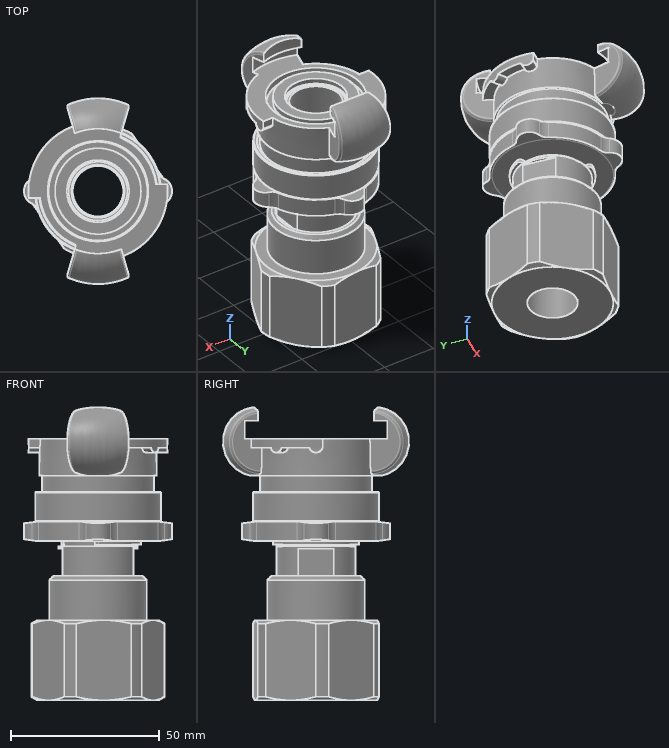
import cadquery as cq
import math

HEX_TOP = 27.0
COLLAR_TOP = 42.0
FLATS_TOP = 51.1
NECK_TOP = 51.9
CLIP_BOTTOM = 52.5
GRIP_BOTTOM = 53.6
GRIP_TOP = 60.2
RING_TOP = 70.3
HEAD_BOTTOM = 75.7
FACE = 88.2

HEX_SIDES = 6
HEX_ACROSS_FLATS = 41.0
HEX_CORNER_DIAMETER = 45.0
HEX_TURN = 5.3
HEX_BEVEL_ANGLE = 30.0
COLLAR_DIAMETER = 33.0
COLLAR_CHAMFER = 1.5
SOCKET_MOUTH_DIAMETER = 27.5
SOCKET_MOUTH_DEPTH = 2.0
ADAPTER_BORE_DIAMETER = 17.0

NECK_DIAMETER = 26.8
NECK_ACROSS_FLATS = 24.0
FLATS_BOTTOM = COLLAR_TOP - 1.0
SPIGOT_DIAMETER = 23.0
STEM_BORE_DIAMETER = 18.0
SEAT_DIAMETER = 21.0
SEAT_DEPTH = 2.0
SEAT_STEP_DIAMETER = 19.8
SEAT_STEP_DEPTH = 2.2

CLIP_DIAMETER = 29.0
CLIP_GAP_START = 152.0
CLIP_GAP_END = 265.0
CLIP_END_ROUND = 1.2

RING_DIAMETER = 42.5
RING_CHAMFER = 0.3
RELIEF_DIAMETER = 39.9
RELIEF_DEPTH = 1.0
LOBE_COUNT = 4
LOBE_REACH = 25.0
LOBE_RADIUS = 4.6
LOBE_BLEND = 4.0
LOBE_TOP_DROP = 0.5
LOBE_BOTTOM_START = 20.5
LOBE_BOTTOM_DROP = 0.65

WAIST_DIAMETER = 37.9
HEAD_FOOT_RADIUS = 19.9
HEAD_FACE_RADIUS = 19.65
GROOVE_DIAMETER = 34.0
GROOVE_FLOOR_DIAMETER = 33.25
GROOVE_INNER_DIAMETER = 29.0
GROOVE_DEPTH = 2.5

FLANGE_RADIUS = 23.5
FLANGE_THICKNESS = 3.15
FLANGE_START = 110.0
FLANGE_END_OFFSET = 2.35
BUMP_RADIUS = FLANGE_END_OFFSET
BUMP_DROP = 4.7
BUMP_ANGLES = (145.0, 180.0)

CLAW_REACH = 31.435
CLAW_RADIUS = 11.75
CLAW_CENTRE_Z = 87.17
CLAW_CENTRE_Y = CLAW_REACH - CLAW_RADIUS
CLAW_CROWN_RADIUS = 24.0
CLAW_SIDE_ANGLE = 16.4
CLAW_SIDE_OFFSET = 2.1
CLAW_WEDGE_MARGIN = 1.0
CLAW_EDGE_ROUND = 0.9
HOOK_TIP_RADIUS = 21.05
HOOK_INNER_RADIUS = 25.65
HOOK_UNDERSIDE = 94.2


def disc(diameter, bottom, top):
    """Upright cylinder on the Z axis."""
    return cq.Workplane("XY").workplane(offset=bottom).circle(diameter / 2).extrude(top - bottom)


def polar(radius, angle):
    """Point at a radius and an angle in degrees."""
    return (radius * math.cos(math.radians(angle)), radius * math.sin(math.radians(angle)))


def revolved(profile):
    """Solid of revolution about Z from (radius, height) points."""
    return cq.Workplane("XZ").polyline(profile).close().revolve(360, (0, 0, 0), (0, 1, 0))


def both_sides(feature):
    """The feature together with its copy half a turn about Z."""
    return feature.union(feature.rotate((0, 0, 0), (0, 0, 1), 180))



def hex_foot():
    """Hexagon with turned corners and conical bevels at both ends."""
    corner_to_corner = HEX_ACROSS_FLATS / math.cos(math.pi / HEX_SIDES)
    prism = cq.Workplane("XY").polygon(HEX_SIDES, corner_to_corner).extrude(HEX_TOP)
    prism = prism.rotate((0, 0, 0), (0, 0, 1), HEX_TURN)
    end_radius = HEX_ACROSS_FLATS / 2
    corner_radius = HEX_CORNER_DIAMETER / 2
    bevel = (corner_radius - end_radius) * math.tan(math.radians(HEX_BEVEL_ANGLE))
    turned = revolved([
        (0, 0),
        (end_radius, 0),
        (corner_radius, bevel),
        (corner_radius, HEX_TOP - bevel),
        (end_radius, HEX_TOP),
        (0, HEX_TOP),
    ])
    return prism.intersect(turned)


def make_adapter():
    """Hex with a round collar, bored through and socketed for the coupling's neck."""
    collar = disc(COLLAR_DIAMETER, HEX_TOP, COLLAR_TOP).faces(">Z").chamfer(COLLAR_CHAMFER)
    socket = disc(NECK_DIAMETER, HEX_TOP, COLLAR_TOP)
    socket_mouth = disc(SOCKET_MOUTH_DIAMETER, COLLAR_TOP - SOCKET_MOUTH_DEPTH, COLLAR_TOP)
    bore = disc(ADAPTER_BORE_DIAMETER, 0, HEX_TOP)
    return hex_foot().union(collar).cut(socket).cut(socket_mouth).cut(bore)



def neck():
    """Round neck with two wrench flats facing -X and +X, between full rounds."""
    full_round = disc(NECK_DIAMETER, HEX_TOP, NECK_TOP)
    slab = (
        cq.Workplane("XY").workplane(offset=FLATS_BOTTOM)
        .rect(NECK_ACROSS_FLATS, NECK_DIAMETER).extrude(FLATS_TOP - FLATS_BOTTOM)
    )
    plug = disc(NECK_DIAMETER, HEX_TOP, FLATS_BOTTOM)
    rim = disc(NECK_DIAMETER, FLATS_TOP, NECK_TOP)
    return full_round.intersect(slab).union(plug).union(rim)


def clip():
    """Flat open ring around the spigot, touching the underside of the grip."""
    ring = disc(CLIP_DIAMETER, CLIP_BOTTOM, GRIP_BOTTOM)
    gap_reach = CLIP_DIAMETER
    gap_middle = (CLIP_GAP_START + CLIP_GAP_END) / 2
    gap = (
        cq.Workplane("XY").workplane(offset=CLIP_BOTTOM)
        .polyline([
            (0, 0),
            polar(gap_reach, CLIP_GAP_START),
            polar(gap_reach, gap_middle),
            polar(gap_reach, CLIP_GAP_END),
        ])
        .close().extrude(GRIP_BOTTOM - CLIP_BOTTOM)
    )
    return ring.cut(gap).edges("|Z").edges("<Y or >Y").fillet(CLIP_END_ROUND)


def lobe():
    """One rounded lobe pointing along +X, blended by concave arcs into the grip's round."""
    base_radius = RING_DIAMETER / 2
    lobe_centre = LOBE_REACH - LOBE_RADIUS
    blend_distance = base_radius + LOBE_BLEND
    centre_gap = LOBE_RADIUS + LOBE_BLEND
    blend_x = (blend_distance**2 + lobe_centre**2 - centre_gap**2) / (2 * lobe_centre)
    blend_y = math.sqrt(blend_distance**2 - blend_x**2)
    blend_angle = math.atan2(blend_y, blend_x)
    root = (base_radius * math.cos(blend_angle), base_radius * math.sin(blend_angle))
    joint_ratio = LOBE_RADIUS / centre_gap
    joint = (lobe_centre + (blend_x - lobe_centre) * joint_ratio, blend_y * joint_ratio)
    root_direction = math.atan2(root[1] - blend_y, root[0] - blend_x)
    joint_direction = math.atan2(joint[1] - blend_y, joint[0] - blend_x)
    middle_direction = (root_direction + joint_direction) / 2
    middle = (
        blend_x + LOBE_BLEND * math.cos(middle_direction),
        blend_y + LOBE_BLEND * math.sin(middle_direction),
    )
    return (
        cq.Workplane("XY").workplane(offset=GRIP_BOTTOM)
        .moveTo(0, 0)
        .lineTo(root[0], -root[1])
        .threePointArc((middle[0], -middle[1]), (joint[0], -joint[1]))
        .threePointArc((LOBE_REACH, 0), joint)
        .threePointArc(middle, root)
        .close().extrude(GRIP_TOP - GRIP_BOTTOM)
    )


def grip():
    """Round with four lobes, both ends sloping away slightly towards the lobe tips."""
    solid = disc(RING_DIAMETER, GRIP_BOTTOM, GRIP_TOP)
    for index in range(LOBE_COUNT):
        solid = solid.union(lobe().rotate((0, 0, 0), (0, 0, 1), index * 360 / LOBE_COUNT))
    top_start = RING_DIAMETER / 2 - RING_CHAMFER
    envelope = revolved([
        (0, GRIP_BOTTOM),
        (LOBE_BOTTOM_START, GRIP_BOTTOM),
        (LOBE_REACH, GRIP_BOTTOM + LOBE_BOTTOM_DROP),
        (LOBE_REACH, GRIP_TOP - LOBE_TOP_DROP),
        (top_start, GRIP_TOP),
        (0, GRIP_TOP),
    ])
    return solid.intersect(envelope)


def head():
    """Slightly tapered round under the coupling face."""
    return revolved([
        (0, HEAD_BOTTOM),
        (HEAD_FOOT_RADIUS, HEAD_BOTTOM),
        (HEAD_FACE_RADIUS, FACE),
        (0, FACE),
    ])


def flange():
    """Bayonet flange on the -X side with two rounded radial bumps beneath it."""
    reach = 2 * FLANGE_RADIUS
    bottom = FACE - FLANGE_THICKNESS
    sector = (
        cq.Workplane("XY").workplane(offset=bottom)
        .polyline([
            (0, 0),
            polar(reach, FLANGE_START),
            (-reach, reach),
            (-reach, -FLANGE_END_OFFSET),
            (0, -FLANGE_END_OFFSET),
        ])
        .close().extrude(FLANGE_THICKNESS)
    )
    solid = disc(2 * FLANGE_RADIUS, bottom, FACE).intersect(sector)
    bump_height = FACE - BUMP_DROP + BUMP_RADIUS
    reach_limit = disc(2 * FLANGE_RADIUS, HEAD_BOTTOM, FACE)
    for angle in BUMP_ANGLES:
        bump = cq.Workplane("YZ").center(0, bump_height).circle(BUMP_RADIUS).extrude(reach)
        solid = solid.union(bump.rotate((0, 0, 0), (0, 0, 1), angle).intersect(reach_limit))
    return solid


def claw():
    """Barrel-shaped claw on the +Y side, hollowed from within into a hook."""
    reach = CLAW_REACH + CLAW_WEDGE_MARGIN
    half_length = CLAW_SIDE_OFFSET + reach * math.tan(math.radians(CLAW_SIDE_ANGLE))
    crown_drop = CLAW_CROWN_RADIUS - math.sqrt(CLAW_CROWN_RADIUS**2 - half_length**2)
    end_radius = CLAW_RADIUS - crown_drop
    barrel = (
        cq.Workplane("XY")
        .moveTo(-half_length, 0)
        .lineTo(-half_length, -end_radius)
        .threePointArc((0, -CLAW_RADIUS), (half_length, -end_radius))
        .lineTo(half_length, 0)
        .close().revolve(360, (0, 0, 0), (1, 0, 0))
        .translate((0, CLAW_CENTRE_Y, CLAW_CENTRE_Z))
    )
    wedge = (
        cq.Workplane("XY").workplane(offset=HEAD_BOTTOM)
        .polyline([
            (-CLAW_SIDE_OFFSET, 0),
            (-half_length, reach),
            (half_length, reach),
            (CLAW_SIDE_OFFSET, 0),
        ])
        .close().extrude(2 * CLAW_RADIUS)
    )
    solid = barrel.intersect(wedge)
    solid = solid.edges("<X or >X").fillet(CLAW_EDGE_ROUND)
    hook_throat = disc(2 * HOOK_INNER_RADIUS, FACE, HOOK_UNDERSIDE)
    tip_clearance = disc(2 * HOOK_TIP_RADIUS, HOOK_UNDERSIDE, FACE + 2 * CLAW_RADIUS)
    return solid.cut(hook_throat).cut(tip_clearance)


def passage():
    """Bore through the coupling, opening into a stepped seat at the face."""
    bore = disc(STEM_BORE_DIAMETER, HEX_TOP, FACE)
    step = disc(SEAT_STEP_DIAMETER, FACE - SEAT_STEP_DEPTH, FACE)
    seat = disc(SEAT_DIAMETER, FACE - SEAT_DEPTH, FACE)
    return bore.union(step).union(seat)


def face_groove():
    """Ring groove in the face, narrowing slightly towards its floor."""
    floor = FACE - GROOVE_DEPTH
    return revolved([
        (GROOVE_INNER_DIAMETER / 2, floor),
        (GROOVE_FLOOR_DIAMETER / 2, floor),
        (GROOVE_DIAMETER / 2, FACE),
        (GROOVE_INNER_DIAMETER / 2, FACE),
    ])


def make_coupling():
    """Stem, clip, grip, ring and clawed head in one piece."""
    spigot = disc(SPIGOT_DIAMETER, NECK_TOP, GRIP_BOTTOM)
    ring = disc(RING_DIAMETER, GRIP_TOP, RING_TOP).faces("<Z or >Z").chamfer(RING_CHAMFER)
    ring_relief = disc(RELIEF_DIAMETER, RING_TOP - RELIEF_DEPTH, RING_TOP)
    waist = disc(WAIST_DIAMETER, RING_TOP - RELIEF_DEPTH, HEAD_BOTTOM)
    solid = neck().union(spigot).union(clip()).union(grip())
    solid = solid.union(ring.cut(ring_relief)).union(waist).union(head())
    solid = solid.union(both_sides(flange())).union(both_sides(claw()))
    return solid.cut(face_groove()).cut(passage())


adapter = make_adapter()
coupling = make_coupling()
result = cq.Compound.makeCompound([adapter.solids().val(), coupling.solids().val()])